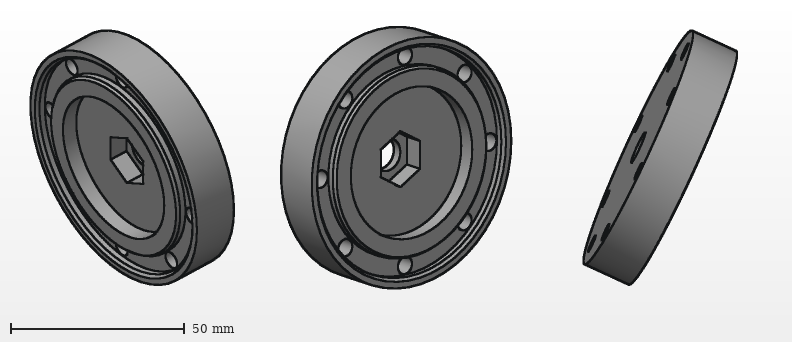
import cadquery as cq
import math

outer_diameter = 74.0
thickness = 14.0

groove_outer_diameter = 68.2
groove_inner_diameter = 56.8
groove_depth = 3.0
mouth_outer_diameter = 70.0
mouth_inner_diameter = 55.5
bevel_depth = 1.0

recess_diameter = 45.0
recess_depth = 5.0
hex_sides = 6
hex_across_flats = 14.4
hex_depth = 6.0
bore_diameter = 9.6

bolt_count = 8
bolt_hole_diameter = 5.2
bolt_circle_diameter = (groove_outer_diameter + groove_inner_diameter) / 2

front_y = -thickness / 2
recess_floor_y = front_y + recess_depth


def plane_at(y):
    """Plane normal to +Y at the given y, centred on the disc axis."""
    return cq.Workplane("XZ", origin=(0, y, 0))


def cylinder(diameter, y, depth):
    """Cylinder starting at y and running towards +Y."""
    return plane_at(y).circle(diameter / 2).extrude(-depth)


def ring_groove():
    """Revolved groove section, widened at the mouth by the two bevels."""
    inner_radius = groove_inner_diameter / 2
    outer_radius = groove_outer_diameter / 2
    floor_y = front_y + groove_depth
    bevel_y = front_y + bevel_depth
    section = [
        (inner_radius, floor_y),
        (outer_radius, floor_y),
        (outer_radius, bevel_y),
        (mouth_outer_diameter / 2, front_y),
        (mouth_inner_diameter / 2, front_y),
        (inner_radius, bevel_y),
    ]
    return cq.Workplane("XY").polyline(section).close().revolve(360, (0, 0, 0), (0, 1, 0))


def hex_pocket():
    """Hexagonal pocket below the recess floor, with corners pointing to +Z and -Z."""
    half_corner_angle = 180 / hex_sides
    across_corners = hex_across_flats / math.cos(math.radians(half_corner_angle))
    pocket = plane_at(recess_floor_y).polygon(hex_sides, across_corners).extrude(-hex_depth)
    return pocket.rotate((0, 0, 0), (0, 1, 0), half_corner_angle)


def bolt_holes():
    """Ring of equally spaced through holes."""
    centres = plane_at(front_y).polarArray(bolt_circle_diameter / 2, 0, 360, bolt_count)
    return centres.circle(bolt_hole_diameter / 2).extrude(-thickness)


disc = cylinder(outer_diameter, front_y, thickness)
recess = cylinder(recess_diameter, front_y, recess_depth)
bore = cylinder(bore_diameter, front_y, thickness)

result = disc.cut(ring_groove()).cut(recess).cut(hex_pocket()).cut(bore).cut(bolt_holes())